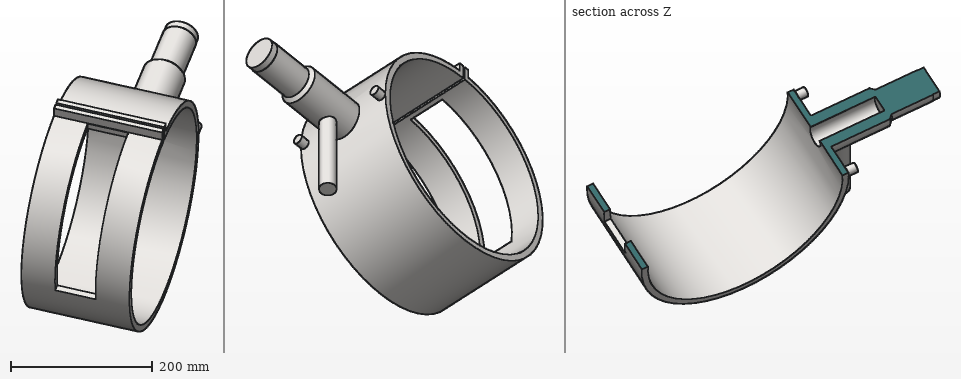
import cadquery as cq
import math

ring_width = 160.0
ring_inner_radius = 157.5
ring_wall = 10.0
ring_outer_radius = ring_inner_radius + ring_wall
wall_middle = ring_inner_radius + ring_wall / 2

split_gap = 3.5
lug_thickness = 7.5
lug_height = 15.0
lug_top = ring_outer_radius + lug_height

window_width = 60.0
window_height = 2 * ring_outer_radius
window_start = 10.0
window_floor = -17.5

stop_pin_diameter = 15.0
stop_pin_length = 15.0
stop_pin_tip = ring_outer_radius + stop_pin_length
stop_pin_offset = (ring_width - stop_pin_diameter) / 2

barrel_radius = 31.0
barrel_end = 262.0
neck_radius = 25.0
cone_end = barrel_end + barrel_radius - neck_radius
neck_end = 335.0
tip_radius = 24.5
spigot_end = 346.0

bore_diameter = 30.0
bore_end = barrel_end

handle_diameter = 25.0
handle_distance = 200.0
handle_bottom = -164.0


def make_spigot():
    """Stepped spigot, revolved about Y, starting inside the ring wall."""
    profile = [
        (wall_middle, 0),
        (wall_middle, barrel_radius),
        (barrel_end, barrel_radius),
        (cone_end, neck_radius),
        (neck_end, neck_radius),
        (neck_end, tip_radius),
        (spigot_end, tip_radius),
        (spigot_end, 0),
    ]
    return cq.Workplane("YZ").polyline(profile).close().revolve(360, (0, 0), (1, 0))


def rod_along_y(diameter, start, end, x=0.0):
    """Cylinder parallel to Y, from Y = start to Y = end."""
    base = cq.Workplane("XZ", origin=(x, start, 0))
    return base.circle(diameter / 2).extrude(start - end)


def make_band():
    """Split ring with its two lugs, drawn as one outline in the YZ plane."""
    split_side = split_gap / 2
    lug_side = split_side + lug_thickness
    inner_z = math.sqrt(ring_inner_radius**2 - split_side**2)
    outer_z = math.sqrt(ring_outer_radius**2 - lug_side**2)
    return (
        cq.Workplane("YZ", origin=(-ring_width / 2, 0, 0))
        .moveTo(split_side, inner_z)
        .lineTo(split_side, lug_top)
        .lineTo(lug_side, lug_top)
        .lineTo(lug_side, outer_z)
        .threePointArc((0, -ring_outer_radius), (-lug_side, outer_z))
        .lineTo(-lug_side, lug_top)
        .lineTo(-split_side, lug_top)
        .lineTo(-split_side, inner_z)
        .threePointArc((0, -ring_inner_radius), (split_side, inner_z))
        .close()
        .extrude(ring_width)
    )


def make_clamp():
    """Split ring with lugs, window, stop pins and the bored spigot."""
    window = (
        cq.Workplane("XY")
        .box(window_width, ring_outer_radius, window_height, centered=(True, False, False))
        .translate((0, -window_start - ring_outer_radius, window_floor))
    )

    clamp = make_band().union(make_spigot())
    for side in (-1, 1):
        pin = rod_along_y(stop_pin_diameter, wall_middle, stop_pin_tip, side * stop_pin_offset)
        clamp = clamp.union(pin)
    bore = rod_along_y(bore_diameter, 0, bore_end)
    return clamp.cut(window).cut(bore)


def make_handle():
    """Round handle whose top is shaped to sit on the underside of the barrel."""
    rod = (
        cq.Workplane("XY")
        .center(0, handle_distance)
        .circle(handle_diameter / 2)
        .extrude(handle_bottom)
    )
    return rod.cut(make_spigot())


clamp = make_clamp()
handle = make_handle()

result = cq.Compound.makeCompound([clamp.val(), handle.val()])